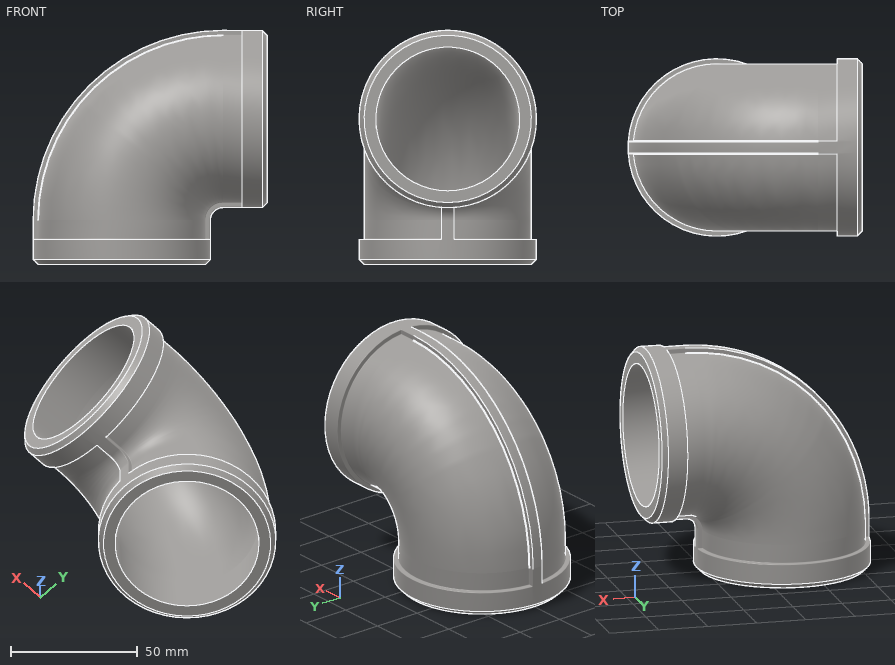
import cadquery as cq
import math

overall_length = 92.5
collar_diameter = 70.0
body_diameter = 65.9
bore_diameter = 56.7
bend_radius = 40.0
collar_length = 10.0
collar_chamfer = 2.0
rib_width = 5.0
edge_radius = 0.3
cutter_clearance = 1.85

straight_length = overall_length - collar_diameter / 2 - bend_radius
bend_start_height = straight_length
upper_axis_height = straight_length + bend_radius


def elbow(diameter, leg_length):
    """Solid round bar: a quarter bend with a straight leg at each end."""
    bend_top = (bend_radius, upper_axis_height)
    bend_middle = (
        bend_radius * (1 - math.cos(math.pi / 4)),
        bend_start_height + bend_radius * math.sin(math.pi / 4),
    )
    centreline = (
        cq.Workplane("XZ")
        .moveTo(0, bend_start_height - leg_length)
        .lineTo(0, bend_start_height)
        .threePointArc(bend_middle, bend_top)
        .lineTo(bend_radius + leg_length, upper_axis_height)
    )
    start = cq.Workplane("XY", origin=(0, 0, bend_start_height - leg_length))
    return start.circle(diameter / 2).sweep(centreline)


def envelope():
    """Elbow at full collar diameter with both port rims chamfered."""
    return elbow(collar_diameter, straight_length).faces("<Z or >X").chamfer(collar_chamfer)


def side_recesses():
    """Shell on each side of the rib plane that takes the tube down to its body diameter."""
    recess_leg = straight_length - collar_length
    around_body = elbow(collar_diameter + 2 * cutter_clearance, recess_leg).cut(
        elbow(body_diameter, straight_length)
    )
    rib_slab = cq.Workplane("XY").box(3 * overall_length, rib_width, 3 * overall_length)
    return around_body.cut(rib_slab)


ribbed_bar = envelope().cut(side_recesses())

rounded_bar = ribbed_bar.faces("|Y or +Z or -X").edges().fillet(edge_radius)

result = rounded_bar.cut(elbow(bore_diameter, straight_length))